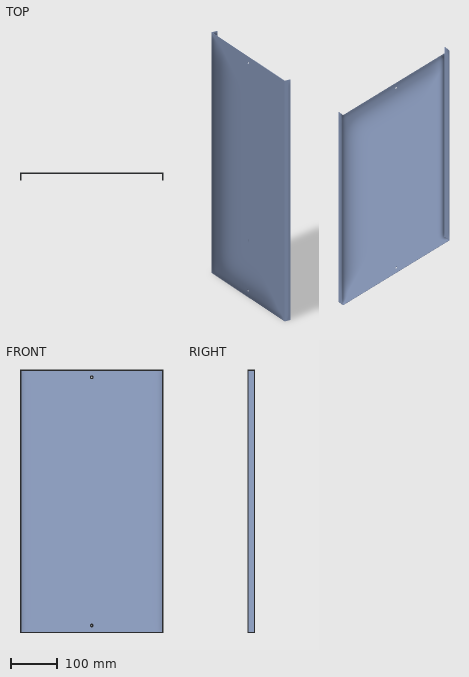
import cadquery as cq

width = 303.6
depth = 14.8
height = 560.0

sheet_thickness = 0.8

hole_diameter = 5.0
hole_edge_distance = 15.0


def upright_block(block_width, block_depth):
    """Full-height block centred in X and Z, running back from the flange tips at y = 0."""
    return cq.Workplane("XY").box(block_width, block_depth, height, centered=(True, False, True))


def folded_panel():
    """Web at the rear with a forward flange along each vertical side."""
    outer = upright_block(width, depth)
    channel = upright_block(width - 2 * sheet_thickness, depth - sheet_thickness)
    return outer.cut(channel)


def mounting_holes():
    """Cylinders along Y, one near each end of the web."""
    hole_offset = height / 2 - hole_edge_distance
    return (
        cq.Workplane("XZ")
        .pushPoints([(0, -hole_offset), (0, hole_offset)])
        .circle(hole_diameter / 2)
        .extrude(-depth)
    )


result = folded_panel().cut(mounting_holes())